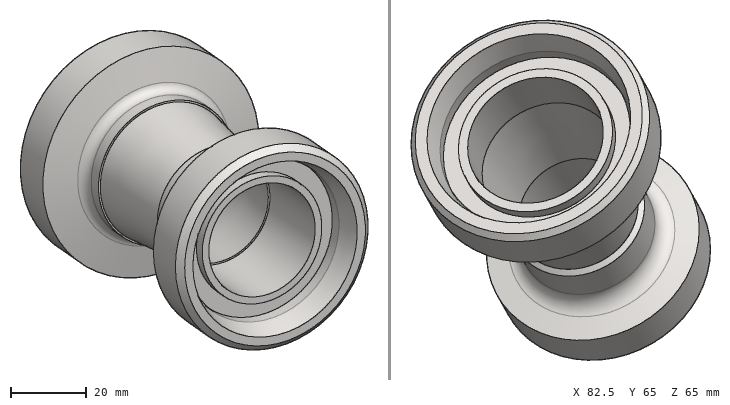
import cadquery as cq
import math

LENGTH = 82.5
LARGE_LINER_LENGTH = 22.7
SMALL_LINER_LENGTH = 32.2

WALL = 1.5
REDUCER_LARGE_BORE_D = 37.0
REDUCER_SMALL_BORE_D = 31.0

BACK_FACE_ANGLE = math.radians(10.0)
SEAT_DEPTH = 10.4
SEAT_TAPER_DEPTH = 6.8
SEAT_TAPER_ANGLE = math.radians(15.0)
LIP_FACE_DEPTH = 7.2

LARGE_FLANGE_D = 65.0
LARGE_FLANGE_WIDTH = 14.0
LARGE_CHAMFER = 1.6
LARGE_NECK_D = 41.0
LARGE_FILLET = 3.0
LARGE_SEAT_D = 51.8
LARGE_LIP_D = 42.0

SMALL_FLANGE_D = 58.0
SMALL_FLANGE_WIDTH = 13.95
SMALL_CHAMFER = 1.8
SMALL_NECK_D = 37.0
SMALL_FILLET = 5.0
SMALL_SEAT_D = 45.8
SMALL_LIP_D = 36.0
SMALL_BORE_D = 32.0
SMALL_BEVEL_LENGTH = 1.1


def make_liner(length, flange_d, flange_width, chamfer, neck_d, fillet,
               seat_d, lip_d, bore_d, weld_end_d, bevel_length):
    """Flanged liner with its open face at X = 0 and its neck toward +X."""
    flange_r = flange_d / 2
    neck_r = neck_d / 2
    seat_r = seat_d / 2
    lip_r = lip_d / 2
    bore_r = bore_d / 2
    mouth_r = seat_r + SEAT_TAPER_DEPTH * math.tan(SEAT_TAPER_ANGLE)

    arc_start_r = neck_r + fillet * (1 - math.sin(BACK_FACE_ANGLE))
    arc_start_x = flange_width + (flange_r - arc_start_r) * math.tan(BACK_FACE_ANGLE)
    arc_centre_x = arc_start_x + fillet * math.cos(BACK_FACE_ANGLE)
    arc_centre_r = neck_r + fillet
    mid_angle = (BACK_FACE_ANGLE + math.pi / 2) / 2
    arc_mid = (
        arc_centre_x - fillet * math.cos(mid_angle),
        arc_centre_r - fillet * math.sin(mid_angle),
    )

    profile = (
        cq.Workplane("XY")
        .moveTo(0, mouth_r)
        .lineTo(0, flange_r - chamfer)
        .lineTo(chamfer, flange_r)
        .lineTo(flange_width, flange_r)
        .lineTo(arc_start_x, arc_start_r)
        .threePointArc(arc_mid, (arc_centre_x, neck_r))
        .lineTo(length - bevel_length, neck_r)
    )
    if bevel_length > 0:
        profile = profile.lineTo(length, weld_end_d / 2)
    profile = (
        profile
        .lineTo(length, bore_r)
        .lineTo(LIP_FACE_DEPTH, bore_r)
        .lineTo(LIP_FACE_DEPTH, lip_r)
        .lineTo(SEAT_DEPTH, lip_r)
        .lineTo(SEAT_DEPTH, seat_r)
        .lineTo(SEAT_TAPER_DEPTH, seat_r)
        .close()
    )
    return profile.revolve(360, (0, 0, 0), (1, 0, 0))


def make_reducer():
    """Conical tube filling the space between the two liners."""
    start_x = LARGE_LINER_LENGTH
    end_x = LENGTH - SMALL_LINER_LENGTH
    large_bore_r = REDUCER_LARGE_BORE_D / 2
    small_bore_r = REDUCER_SMALL_BORE_D / 2
    return (
        cq.Workplane("XY")
        .moveTo(start_x, large_bore_r)
        .lineTo(start_x, large_bore_r + WALL)
        .lineTo(end_x, small_bore_r + WALL)
        .lineTo(end_x, small_bore_r)
        .close()
        .revolve(360, (0, 0, 0), (1, 0, 0))
    )


large_liner = make_liner(
    length=LARGE_LINER_LENGTH,
    flange_d=LARGE_FLANGE_D,
    flange_width=LARGE_FLANGE_WIDTH,
    chamfer=LARGE_CHAMFER,
    neck_d=LARGE_NECK_D,
    fillet=LARGE_FILLET,
    seat_d=LARGE_SEAT_D,
    lip_d=LARGE_LIP_D,
    bore_d=REDUCER_LARGE_BORE_D,
    weld_end_d=LARGE_NECK_D,
    bevel_length=0,
)

reducer = make_reducer()

small_liner = (
    make_liner(
        length=SMALL_LINER_LENGTH,
        flange_d=SMALL_FLANGE_D,
        flange_width=SMALL_FLANGE_WIDTH,
        chamfer=SMALL_CHAMFER,
        neck_d=SMALL_NECK_D,
        fillet=SMALL_FILLET,
        seat_d=SMALL_SEAT_D,
        lip_d=SMALL_LIP_D,
        bore_d=SMALL_BORE_D,
        weld_end_d=REDUCER_SMALL_BORE_D + 2 * WALL,
        bevel_length=SMALL_BEVEL_LENGTH,
    )
    .rotate((0, 0, 0), (0, 0, 1), 180)
    .translate((LENGTH, 0, 0))
)

result = cq.Compound.makeCompound([large_liner.val(), reducer.val(), small_liner.val()])